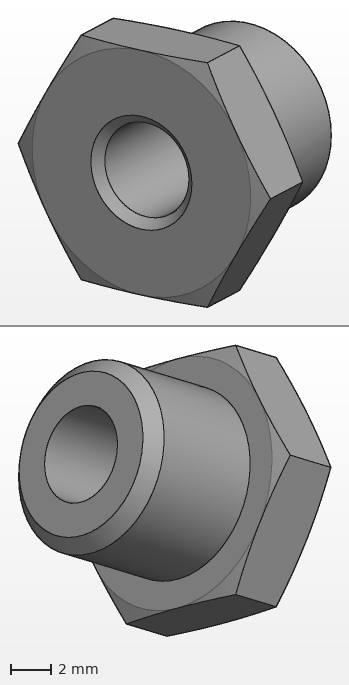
import cadquery as cq
import math

across_corners = 15.01
total_length = 10.5
head_thickness = 3.5
shank_diameter = 10.0
shank_chamfer = 0.75
bore_diameter = 5.0
countersink_diameter = 6.0
corner_bevel_angle = 15.0

across_flats = across_corners * math.cos(math.radians(30))
countersink_depth = (countersink_diameter - bore_diameter) / 2


def cylinder(diameter, length):
    """Cylinder along +Y starting at Y = 0."""
    return cq.Workplane("XZ").circle(diameter / 2).extrude(-length)


def make_head():
    """Hexagon with corners on X, both faces bevelled down to the inscribed circle."""
    hexagon = cq.Workplane("XZ").polygon(6, across_corners).extrude(-head_thickness)
    face_radius = across_flats / 2
    corner_radius = across_corners / 2
    bevel_drop = (corner_radius - face_radius) * math.tan(math.radians(corner_bevel_angle))
    bevel_envelope = (
        cq.Workplane("XY")
        .moveTo(0, 0)
        .lineTo(face_radius, 0)
        .lineTo(corner_radius, bevel_drop)
        .lineTo(corner_radius, head_thickness - bevel_drop)
        .lineTo(face_radius, head_thickness)
        .lineTo(0, head_thickness)
        .close()
        .revolve(360, (0, 0), (0, 1))
    )
    return hexagon.intersect(bevel_envelope)


def make_shank():
    """Round shank with a chamfered free end."""
    return cylinder(shank_diameter, total_length).faces(">Y").edges().chamfer(shank_chamfer)


def make_bore():
    """Through bore, countersunk at the hex face."""
    countersink = (
        cq.Workplane("XY")
        .moveTo(0, 0)
        .lineTo(countersink_diameter / 2, 0)
        .lineTo(bore_diameter / 2, countersink_depth)
        .lineTo(0, countersink_depth)
        .close()
        .revolve(360, (0, 0), (0, 1))
    )
    return cylinder(bore_diameter, total_length).union(countersink)


result = make_head().union(make_shank()).cut(make_bore())